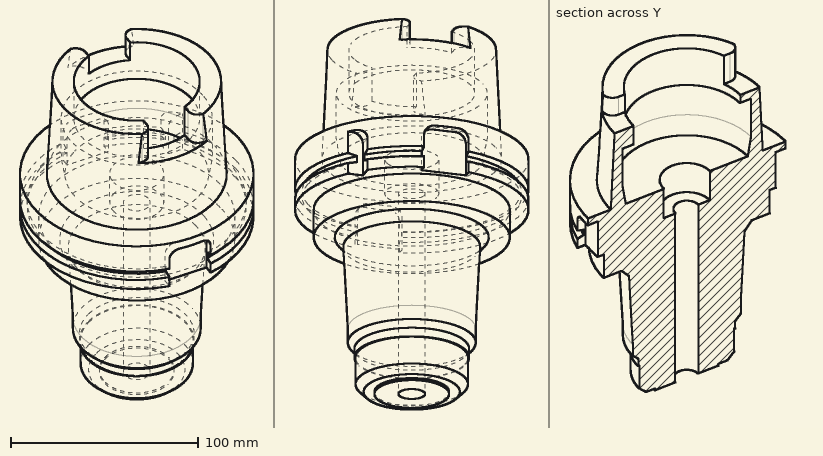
import cadquery as cq


shank_height = 63.0
shank_base_radius = 48.1
shank_top_radius = 45.1

flange_diameter = 125.0
flange_radius = flange_diameter / 2
flange_height = 29.1
groove_root_radius = 58.6
groove_top = 17.2
groove_bottom = 23.0
groove_bevel_height = 1.2

total_length = 198
body_radius = 52.5
body_end = 45.0
neck_cone_top_radius = 41.2
sleeve_top = 50.3
sleeve_top_radius = 36.6
sleeve_bottom_radius = 34.3
sleeve_cone_end = 97.6
sleeve_end = 105.5
collar_radius = 30.7
collar_top = 109.0
collar_end = 114.0
nose_radius = 30.0
nose_bevel_top = 129.5
nose_tip_radius = 25.7
nose_end = 133.8
tip_boss_radius = 20.0
tip_boss_end = total_length - shank_height

mouth_radius = 33.7
mouth_depth = 25.0
cavity_radius = 40.4
cavity_wall_depth = 50.5
cavity_floor_radius = 38.5
cavity_depth = shank_height
socket_radius = 14.5
socket_depth = 19.8
through_hole_radius = 7.1

drive_width = 25.0
drive_corner_radius = 6
lug_half_length = 41.2
shallow_notch_depth = 12.0
deep_notch_depth = 19.2
slot_top = 5.0
slot_floor_distance = 56.2

corner_notch_x = 39.6
corner_notch_y = 40.0

clearance = 9.9


def revolve_about_z(profile):
    """Solid of revolution from a closed half profile of (radius, z) points."""
    return cq.Workplane("XZ").polyline(profile).close().revolve(360, (0, 0), (0, 1))


def make_body():
    """Turned outer shape, from the shank mouth down to the tip boss."""
    profile = [
        (0, shank_height),
        (shank_top_radius, shank_height),
        (shank_base_radius, 0),
        (flange_radius, 0),
        (flange_radius, -groove_top),
        (groove_root_radius, -groove_top - groove_bevel_height),
        (groove_root_radius, -groove_bottom + groove_bevel_height),
        (flange_radius, -groove_bottom),
        (flange_radius, -flange_height),
        (body_radius, -flange_height),
        (body_radius, -body_end),
        (neck_cone_top_radius, -body_end),
        (sleeve_top_radius, -sleeve_top),
        (sleeve_bottom_radius, -sleeve_cone_end),
        (sleeve_bottom_radius, -sleeve_end),
        (collar_radius, -collar_top),
        (collar_radius, -collar_end),
        (nose_radius, -collar_end),
        (nose_radius, -nose_bevel_top),
        (nose_tip_radius, -nose_end),
        (tip_boss_radius, -nose_end),
        (tip_boss_radius, -tip_boss_end),
        (0, -tip_boss_end),
    ]
    return revolve_about_z(profile)


def make_hollow():
    """Mouth, wider cavity tapering to its floor, socket and the hole through the whole part."""
    cavity_wall_bottom = shank_height - cavity_wall_depth
    cavity_floor = shank_height - cavity_depth
    socket_floor = cavity_floor - socket_depth
    profile = [
        (0, shank_height),
        (mouth_radius, shank_height),
        (mouth_radius, shank_height - mouth_depth),
        (cavity_radius, shank_height - mouth_depth),
        (cavity_radius, cavity_wall_bottom),
        (cavity_floor_radius, cavity_floor),
        (socket_radius, cavity_floor),
        (socket_radius, socket_floor),
        (through_hole_radius, socket_floor),
        (through_hole_radius, -tip_boss_end),
        (0, -tip_boss_end),
    ]
    return revolve_about_z(profile)


def make_mouth_notch(side, depth):
    """Notch on one X side (side = -1 or 1): leaves two lugs with flat, rounded ends."""
    lugs = (
        cq.Workplane("XY", origin=(0, 0, shank_height - depth))
        .pushPoints([(0, flange_radius), (0, -flange_radius)])
        .rect(2 * lug_half_length, 2 * flange_radius - drive_width)
        .extrude(depth)
        .edges("|Z")
        .fillet(drive_corner_radius)
    )
    side_block_center = side * flange_radius / 2
    side_block = (
        cq.Workplane("XY", origin=(side_block_center, 0, shank_height - depth))
        .rect(flange_radius, 2 * flange_radius)
        .extrude(depth)
    )
    return side_block.cut(lugs)


def make_flange_slot(side):
    """Slot on one X side of the flange, open downward, with rounded upper corners."""
    length = flange_radius - slot_floor_distance + clearance
    return (
        cq.Workplane("XY", origin=(side * (slot_floor_distance + length / 2), 0, -flange_height))
        .rect(length, drive_width)
        .extrude(flange_height - slot_top)
        .edges("|X and >Z")
        .fillet(drive_corner_radius)
    )


def make_corner_notch():
    """Square-cornered notch, open downward, with its upper inner edge along X rounded."""
    return (
        cq.Workplane("XY", origin=(-corner_notch_x, corner_notch_y, -flange_height))
        .rect(-flange_radius, flange_radius, centered=False)
        .extrude(flange_height - slot_top)
        .edges("|X and >Z and <Y")
        .fillet(drive_corner_radius)
    )


result = make_body().cut(make_hollow())
result = result.cut(make_mouth_notch(-1, shallow_notch_depth))
result = result.cut(make_mouth_notch(1, deep_notch_depth))
for slot_side in (-1, 1):
    result = result.cut(make_flange_slot(slot_side))
result = result.cut(make_corner_notch())